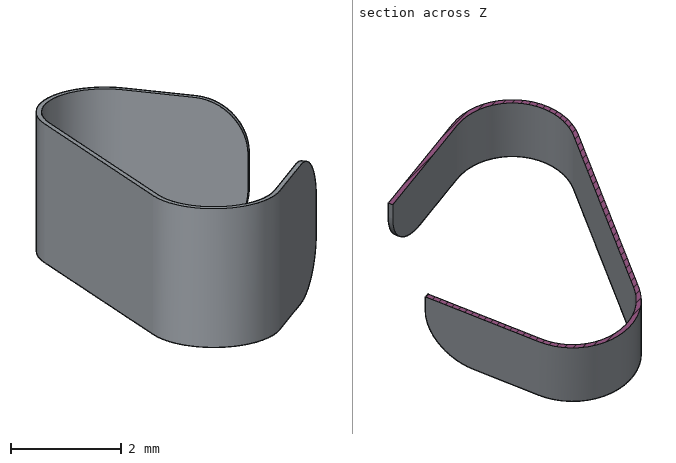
import cadquery as cq
import math

overall_width = 6.6
overall_depth = 3.8
strip_height = 2.7
thickness = 0.1
bend_radius = 1.25
arm_angle = 45.0
corner_radius = 1.0

slope = math.radians(arm_angle)
arm_direction = (math.cos(slope), math.sin(slope))
arm_normal = (-math.sin(slope), math.cos(slope))
bend_x = bend_radius - overall_width / 2
bend_y = bend_radius
arm_length = (overall_depth - bend_y - bend_radius * arm_normal[1]) / arm_direction[1]


def left_face_points(radius):
    """Floor tangent, leftmost bend point, arm tangent and arm tip of one strip face."""
    floor = (bend_x, bend_y - radius)
    leftmost = (bend_x - radius, bend_y)
    tangent = (bend_x + radius * arm_normal[0], bend_y + radius * arm_normal[1])
    tip = (tangent[0] + arm_length * arm_direction[0], tangent[1] + arm_length * arm_direction[1])
    return floor, leftmost, tangent, tip


def mirrored(point):
    """Reflect a point across the YZ plane."""
    return -point[0], point[1]


outer_floor, outer_leftmost, outer_tangent, outer_tip = left_face_points(bend_radius)
inner_floor, inner_leftmost, inner_tangent, inner_tip = left_face_points(bend_radius - thickness)

strip = (
    cq.Workplane("XY")
    .moveTo(*outer_tip)
    .lineTo(*outer_tangent)
    .threePointArc(outer_leftmost, outer_floor)
    .lineTo(*mirrored(outer_floor))
    .threePointArc(mirrored(outer_leftmost), mirrored(outer_tangent))
    .lineTo(*mirrored(outer_tip))
    .lineTo(*mirrored(inner_tip))
    .lineTo(*mirrored(inner_tangent))
    .threePointArc(mirrored(inner_leftmost), mirrored(inner_floor))
    .lineTo(*inner_floor)
    .threePointArc(inner_leftmost, inner_tangent)
    .lineTo(*inner_tip)
    .close()
    .extrude(strip_height)
)

tip_edges = strip.edges("#Z").filter(lambda edge: edge.Center().y > inner_tip[1])
result = tip_edges.fillet(corner_radius)